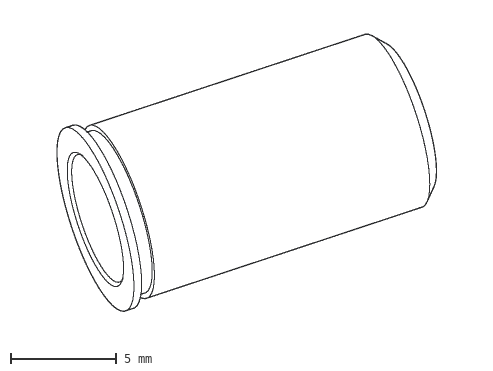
import cadquery as cq

length = 16.0
flange_diameter = 9.14
flange_thickness = 0.4
groove_diameter = 8.1
groove_width = 0.77
body_diameter = 8.62
nose_chamfer = 0.62
bore_diameter = 6.35
bore_chamfer = 0.16

front_y = -length / 2
flange_back_y = front_y + flange_thickness
body_start_y = flange_back_y + groove_width
body_length = length - flange_thickness - groove_width


def cylinder(diameter, start_y, depth):
    """Solid cylinder on the Y axis, running from start_y toward +Y."""
    plane = cq.Plane(origin=(0, start_y, 0), xDir=(1, 0, 0), normal=(0, 1, 0))
    return cq.Workplane(plane).circle(diameter / 2).extrude(depth)


flange = cylinder(flange_diameter, front_y, flange_thickness)
groove_neck = cylinder(groove_diameter, flange_back_y, groove_width)
body = cylinder(body_diameter, body_start_y, body_length).faces(">Y").chamfer(nose_chamfer)
sleeve = flange.union(groove_neck).union(body)

sleeve = sleeve.cut(cylinder(bore_diameter, front_y, length))
bore_mouth = cq.selectors.RadiusNthSelector(0)
result = sleeve.faces("<Y").edges(bore_mouth).chamfer(bore_chamfer)